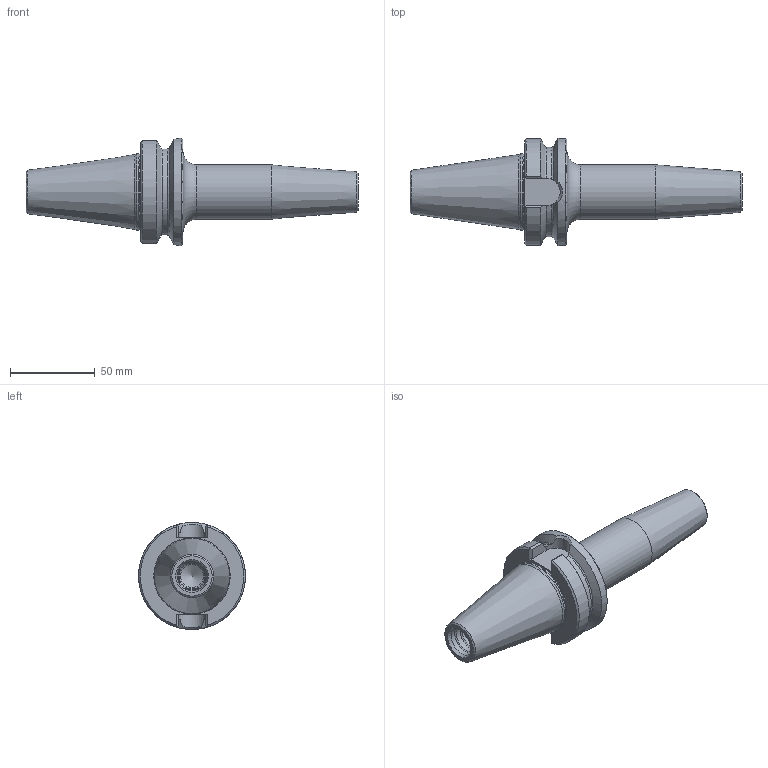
import cadquery as cq
import math


GAUGE_RADIUS = 44.45 / 2
TAPER_LENGTH = 65.4
TAPER_SLOPE = 7 / 48
TAPER_END = -1.5
SHANK_CHAMFER = 0.8

COLLAR_RADIUS = 22.5
COLLAR_START = -0.3
COLLAR_END = 0.9
RELIEF_RADIUS = 22.1
RELIEF_START = 1.5

FLANGE_RADIUS = 63.0 / 2
FLANGE_START = 2.0
FLANGE_END = 27.0
FLANGE_FRONT_CHAMFER = 1.0
FLANGE_BACK_CHAMFER = 0.7
GROOVE_CENTRE = 16.5
GROOVE_FLOOR_WIDTH = 4.4
GROOVE_RADIUS = 26.4
GROOVE_FILLET = 1.0
GROOVE_HALF_ANGLE = 30.0

NECK_RADIUS = 32.0 / 2
NECK_FILLET = 8.0
NOSE_END = 130.0
NOSE_TIP_RADIUS = 24.0 / 2
NOSE_HALF_ANGLE = 4.5
NOSE_CHAMFER = 1.0

SLOT_COUNT = 2
SLOT_WIDTH = 16.1
SLOT_FLOOR = 22.5
SLOT_END = 23.0
SLOT_CHAMFER = 1.3

BORE_MOUTH_RADIUS = 9.6
MOUTH_DEPTH = 2.0
BORE_STEPS = [
    (8.7, 5.0),
    (8.2, 9.0),
    (7.6, 20.0),
]
STEP_TAPER_LENGTH = 0.8
CORE_RADIUS = 6.8
CORE_DEPTH = 30.0
DRILL_HALF_ANGLE = 59.0

SHANK_END = -TAPER_LENGTH
RIM_CLEARANCE = 1.0
SELECTION_MARGIN = 0.01


def taper_radius(x):
    return GAUGE_RADIUS + x * TAPER_SLOPE


def revolve_about_x(profile):
    return profile.close().revolve(360, (0, 0, 0), (1, 0, 0))


def turned_body():
    """Turned blank from the shank end to the nose, before any cuts."""
    nose_length = (NECK_RADIUS - NOSE_TIP_RADIUS) / math.tan(math.radians(NOSE_HALF_ANGLE))
    fillet_swing = NECK_FILLET * (1 - math.sqrt(0.5))
    profile = (
        cq.Workplane("XY")
        .moveTo(SHANK_END, 0)
        .lineTo(SHANK_END, taper_radius(SHANK_END) - SHANK_CHAMFER)
        .lineTo(SHANK_END + SHANK_CHAMFER, taper_radius(SHANK_END + SHANK_CHAMFER))
        .lineTo(TAPER_END, taper_radius(TAPER_END))
        .lineTo(COLLAR_START, COLLAR_RADIUS)
        .lineTo(COLLAR_END, COLLAR_RADIUS)
        .lineTo(RELIEF_START, RELIEF_RADIUS)
        .lineTo(FLANGE_START, RELIEF_RADIUS)
        .lineTo(FLANGE_START, FLANGE_RADIUS)
        .lineTo(FLANGE_END - FLANGE_BACK_CHAMFER, FLANGE_RADIUS)
        .lineTo(FLANGE_END, FLANGE_RADIUS - FLANGE_BACK_CHAMFER)
        .lineTo(FLANGE_END, NECK_RADIUS + NECK_FILLET)
        .threePointArc(
            (FLANGE_END + fillet_swing, NECK_RADIUS + fillet_swing),
            (FLANGE_END + NECK_FILLET, NECK_RADIUS),
        )
        .lineTo(NOSE_END - nose_length, NECK_RADIUS)
        .lineTo(NOSE_END - NOSE_CHAMFER, NOSE_TIP_RADIUS)
        .lineTo(NOSE_END, NOSE_TIP_RADIUS - NOSE_CHAMFER)
        .lineTo(NOSE_END, 0)
    )
    return revolve_about_x(profile)


def pull_stud_bore():
    core_end = SHANK_END + CORE_DEPTH
    profile = cq.Workplane("XY").moveTo(SHANK_END, 0).lineTo(SHANK_END, BORE_MOUTH_RADIUS)
    cone_end = SHANK_END + MOUTH_DEPTH
    for radius, depth in BORE_STEPS:
        step_end = SHANK_END + depth
        profile = profile.lineTo(cone_end, radius).lineTo(step_end, radius)
        cone_end = step_end + STEP_TAPER_LENGTH
    profile = (
        profile.lineTo(cone_end, CORE_RADIUS)
        .lineTo(core_end, CORE_RADIUS)
        .lineTo(core_end + CORE_RADIUS / math.tan(math.radians(DRILL_HALF_ANGLE)), 0)
    )
    return revolve_about_x(profile)


def gripper_groove():
    half_floor = GROOVE_FLOOR_WIDTH / 2
    half_mouth = half_floor + (FLANGE_RADIUS - GROOVE_RADIUS) * math.tan(math.radians(GROOVE_HALF_ANGLE))
    rim_radius = FLANGE_RADIUS + RIM_CLEARANCE
    profile = (
        cq.Workplane("XY")
        .moveTo(GROOVE_CENTRE - half_mouth, rim_radius)
        .lineTo(GROOVE_CENTRE - half_mouth, FLANGE_RADIUS)
        .lineTo(GROOVE_CENTRE - half_floor, GROOVE_RADIUS)
        .lineTo(GROOVE_CENTRE + half_floor, GROOVE_RADIUS)
        .lineTo(GROOVE_CENTRE + half_mouth, FLANGE_RADIUS)
        .lineTo(GROOVE_CENTRE + half_mouth, rim_radius)
    )
    groove = revolve_about_x(profile)
    floor_edges = cq.selectors.RadiusNthSelector(0)
    return groove.edges(floor_edges).fillet(GROOVE_FILLET)


def flange_front_chamfer():
    profile = (
        cq.Workplane("XY")
        .moveTo(FLANGE_START, FLANGE_RADIUS - FLANGE_FRONT_CHAMFER)
        .lineTo(FLANGE_START + FLANGE_FRONT_CHAMFER, FLANGE_RADIUS)
        .lineTo(FLANGE_START, FLANGE_RADIUS)
    )
    return revolve_about_x(profile)


def drive_slot():
    """Round-ended slot open toward -X, with its floor parallel to the axis."""
    half_width = SLOT_WIDTH / 2
    centre_x = SLOT_END - half_width
    return (
        cq.Workplane("XY")
        .workplane(offset=SLOT_FLOOR)
        .moveTo(FLANGE_START, -half_width)
        .lineTo(centre_x, -half_width)
        .threePointArc((SLOT_END, 0), (centre_x, half_width))
        .lineTo(FLANGE_START, half_width)
        .close()
        .extrude(FLANGE_RADIUS - SLOT_FLOOR + RIM_CLEARANCE)
    )


def slot_rim_edges():
    """Box around the slot walls' outer edges and front corners, above the slot floor."""
    half_width = SLOT_WIDTH / 2 + SELECTION_MARGIN
    return cq.selectors.BoxSelector(
        (FLANGE_START - SELECTION_MARGIN, -half_width, SLOT_FLOOR + SELECTION_MARGIN),
        (SLOT_END + SELECTION_MARGIN, half_width, FLANGE_RADIUS + SELECTION_MARGIN),
    )


def add_drive_slot(body):
    return body.cut(drive_slot()).edges(slot_rim_edges()).chamfer(SLOT_CHAMFER)


def half_turn(body):
    return body.rotate((0, 0, 0), (1, 0, 0), 180)


result = turned_body().cut(pull_stud_bore())
for _ in range(SLOT_COUNT):
    result = half_turn(add_drive_slot(result))
result = result.cut(gripper_groove()).cut(flange_front_chamfer())